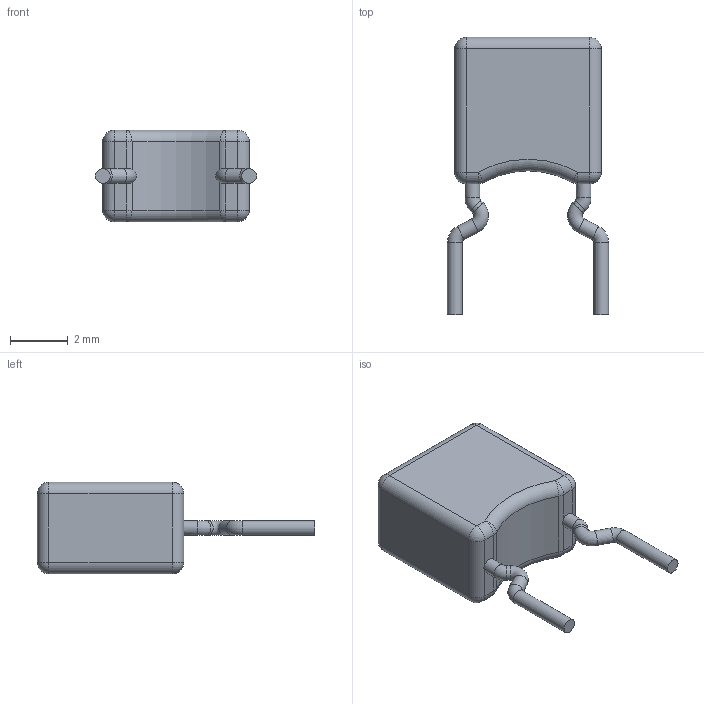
import cadquery as cq

body_width = 5.08
body_length = 5.08
body_height = 3.175
edge_radius = 0.4
recess_radius = 3.12
recess_depth = 0.45

lead_diameter = 0.51
lead_pitch = 5.08
lead_root_pitch = 3.86
kink_pitch = 2.74
lead_length = 4.54
lead_embed = 1.0
bend_radius = 0.38
root_corner = 0.645
kink_corner = 1.205
free_corner = 1.81

body_front = -body_length / 2


def make_body():
    block = cq.Workplane("XY").box(body_width, body_length, body_height)
    recess = (
        cq.Workplane("XY")
        .center(0, body_front + recess_depth - recess_radius)
        .circle(recess_radius)
        .extrude(body_height, both=True)
    )
    return block.cut(recess).edges().fillet(edge_radius)


def make_lead(side):
    """Lead at the +X (side = 1) or -X (side = -1) end of the body."""
    root_x = side * lead_root_pitch / 2
    kink_x = side * kink_pitch / 2
    free_x = side * lead_pitch / 2
    start = cq.Vector(root_x, body_front + lead_embed)
    corners = [
        cq.Vector(root_x, body_front - root_corner),
        cq.Vector(kink_x, body_front - kink_corner),
        cq.Vector(free_x, body_front - free_corner),
    ]
    end = cq.Vector(free_x, body_front - lead_length)
    centreline = cq.Wire.makePolygon([start, *corners, end]).fillet(bend_radius)
    section = cq.Workplane("XZ", origin=start.toTuple()).circle(lead_diameter / 2)
    return section.sweep(centreline)


result = make_body()
for side in (-1, 1):
    result = result.union(make_lead(side))